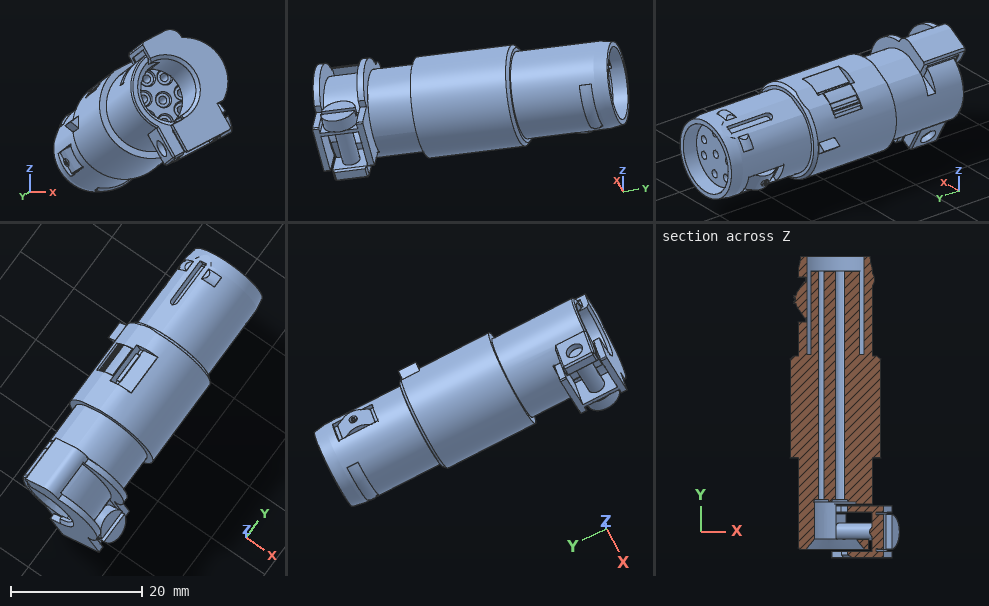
import cadquery as cq
import math

TILT = 30.0
BIG = 40.0

LENGTH = 45.95
BARREL_R = 6.73
NOSE_R = 6.4
NOSE_TAPER = 2.0
BARREL_FLAT = 6.52
SLEEVE_R = 7.8
SLEEVE_FLAT = 7.58
SLEEVE_START = 15.25
SLEEVE_END = 30.8
SLEEVE_CHAMFER = 0.5
REAR_END = 1.27
REAR_CHAMFER = 0.25

NOSE_BORE_R = 5.6
NOSE_BORE_START = 31.0
INSERT_FRONT = 43.7
INSERT_R = 5.2
INSERT_BACK = 8.5
REAR_BORE_R = 4.78
REAR_MOUTH_R = 5.72
MOUTH_DEPTH = 1.6
PIN_HOLE_R = 0.63
PIN_RIM_R = 1.27
PIN_FLOOR_R = 1.1
PIN_RIM_DEPTH = 0.4
PIN_PLACES = (
    (-2.32, 1.26), (0.33, -0.26), (-3.4, -1.62), (-1.15, -3.38),
    (-0.3, 3.75), (2.3, 2.7), (3.55, -0.6), (2.2, -2.9),
)

RIB_Y = 42.42
RIB_WIDTH = 2.2
RIB_R = 7.0
RIB_ROOT_R = 6.62
RIB_SPAN = 70.0
RIB_FLAT = 6.55
SLOT_START = 35.75
SLOT_END = 43.95
SLOT_WIDTH = 1.34

SPRING_Y = 39.35
WINDOW_LENGTH = 6.8
WINDOW_WIDTH = 4.0
WINDOW_FLOOR = 5.7
SPRING_LENGTH = 5.6
SPRING_WIDTH = 3.7
SPRING_ROOT = 5.6
SPRING_TOE = 5.9
SPRING_SHOULDER = 6.9
SPRING_CREST = 7.1
SPRING_CREST_LENGTH = 2.2
DIMPLE_R = 0.62
DIMPLE_HEIGHT = 0.2
DIMPLE_HOLE_R = 0.3

KEY_START = 27.13
KEY_END = 30.15
KEY_TIP = 9.05
KEY_HALF_WIDTH = 0.92

LATCH_Y = 23.7
LATCH_POCKET_LENGTH = 6.95
LATCH_FLOOR = 6.6
LATCH_RIGHT = 4.05
LATCH_STEP = 0.92
LATCH_LEFT = 0.05
LATCH_GROOVE = 6.2
TONGUE_TOP = 6.45
SLIDER_LENGTH = 5.2
GRIP_START = 15.0
GRIP_END = 32.0
GRIP_DEPTH = 0.35
GRIP_RIBS = (20.5, 25.0)
GRIP_RIB_SPAN = 3.0

CLAMP_LENGTH = 7.97
FLANGE = 1.02
CLAMP_LEFT = -1.4
CLAMP_TOP = 8.47
SADDLE_RIGHT = 4.75
LEG_RIGHT = 4.6
CLAMP_BOTTOM = -9.5
LEG_LEFT = -3.4
LEG_CORNER = 0.2
SADDLE_ROUND = 1.95
SADDLE_CORNER = 0.35
LOBE_CENTRE = (2.2, 0.33)
LOBE_R = 6.5
LOBE_LOW = -5.1
SHELL_CENTRE = (-1.3, 0.5)
SHELL_R = 7.3
SHELL_LOW = -4.0
UNDERSIDE = -4.2
CLAMP_MOUTH_R = 5.22
CLAMP_BORE_R = 4.65
CLAMP_MOUTH_DEPTH = 0.47
MOUTH_LOW = -4.75
SADDLE_GAP_TOP = 7.45
SADDLE_GAP_RIGHT = -1.2
CLAMP_GAP_END = 8.2
GAP_INNER_R = 5.73
SLIT_START = 6.7
SLIT_FLOOR = 4.7

EAR_LEFT = -5.4
EAR_START = 1.27
EAR_END = 6.7
EAR_EDGE = 0.3
EAR_TOP = -3.0
BLOCK_LEFT = 3.0
BLOCK_RIGHT = 3.6
SCREW_Y = 3.98
SCREW_Z = -7.05
SCREW_R = 1.35
SCREW_RECESS = 1.0
HEAD_R = 2.72
HEAD_END = 5.65
DRIVE_SLOT = 0.8


def box(x_range, y_range, z_range):
    sizes = [high - low for low, high in (x_range, y_range, z_range)]
    corner = (x_range[0], y_range[0], z_range[0])
    return cq.Workplane("XY").box(*sizes, centered=False).translate(corner)


def rear_plane(y):
    """Workplane at y whose local axes are X and Z; it extrudes towards -Y."""
    return cq.Workplane("XZ", origin=(0, y, 0))


def cylinder(radius, y_start, y_end, centre=(0, 0)):
    return rear_plane(y_end).center(*centre).circle(radius).extrude(y_end - y_start)


def cone(radius_start, radius_end, y_start, y_end, centre=(0, 0)):
    profile = cq.Workplane("XY").polyline(
        [(0, y_start), (radius_start, y_start), (radius_end, y_end), (0, y_end)]
    ).close()
    turned = profile.revolve(360, (0, 0, 0), (0, 1, 0))
    return turned.translate((centre[0], 0, centre[1]))


def sector(inner, outer, y_range, angle_start, angle_end):
    """Ring piece between two angles, measured from +Z towards -X."""
    middle = (inner + outer) / 2
    profile = cq.Workplane("XY").rect(outer - inner, y_range[1] - y_range[0])
    ring = profile.revolve(angle_end - angle_start, (-middle, 0, 0), (-middle, 1, 0))
    ring = ring.translate((middle, sum(y_range) / 2, 0))
    return ring.rotate((0, 0, 0), (0, 1, 0), -90 - angle_end)


def retaining_ribs():
    """Two rounded ribs across the +Z and -Z sides."""
    profile = (
        cq.Workplane("XY")
        .moveTo(RIB_ROOT_R, RIB_Y - RIB_WIDTH / 2)
        .threePointArc((RIB_R, RIB_Y), (RIB_ROOT_R, RIB_Y + RIB_WIDTH / 2))
        .close()
    )
    rib = profile.revolve(RIB_SPAN, (0, 0, 0), (0, 1, 0))
    rib = rib.rotate((0, 0, 0), (0, 1, 0), -90 - RIB_SPAN / 2)
    return rib.union(rib.rotate((0, 0, 0), (0, 1, 0), 180))


def barrel():
    taper_start = LENGTH - NOSE_TAPER
    body = cylinder(BARREL_R, REAR_END, taper_start).rotate((0, 0, 0), (0, 1, 0), 90)
    body = body.faces("<Y").chamfer(REAR_CHAMFER)
    body = body.union(cone(BARREL_R, NOSE_R, taper_start, LENGTH))
    ribs = retaining_ribs().cut(box((-BIG, BIG), (0, LENGTH), (RIB_FLAT, BIG)))
    half_flat = math.sqrt(BARREL_R**2 - BARREL_FLAT**2)
    flat = box((-half_flat, half_flat), (CLAMP_GAP_END, LENGTH), (BARREL_FLAT, BIG))
    return body.union(ribs).cut(flat)


def sleeve():
    body = cylinder(SLEEVE_R, SLEEVE_START, SLEEVE_END)
    body = body.faces(">Y").chamfer(SLEEVE_CHAMFER)
    return body.cut(box((-BIG, BIG), (SLEEVE_START, SLEEVE_END), (SLEEVE_FLAT, BIG)))


def key():
    half_root = KEY_HALF_WIDTH * (KEY_TIP - BARREL_R) / (KEY_TIP - SLEEVE_R)
    corners = [(-KEY_TIP, 0), (-BARREL_R, half_root), (-BARREL_R, -half_root)]
    outline = rear_plane(KEY_END).polyline(corners)
    prism = outline.close().extrude(KEY_END - KEY_START)
    return prism.rotate((0, 0, 0), (0, 1, 0), TILT)


def latch_span(length):
    return (LATCH_Y - length / 2, LATCH_Y + length / 2)


def latch_pocket():
    span = latch_span(LATCH_POCKET_LENGTH)
    floor = box((LATCH_LEFT, LATCH_RIGHT), span, (LATCH_FLOOR, BIG))
    groove = box((LATCH_LEFT, LATCH_STEP), span, (LATCH_GROOVE, BIG))
    tongue_span = latch_span(SLIDER_LENGTH)
    tongue = box((LATCH_LEFT, LATCH_STEP), tongue_span, (LATCH_GROOVE, TONGUE_TOP))
    return floor.union(groove).cut(tongue)


def latch_slider():
    span = latch_span(SLIDER_LENGTH)
    return sector(BARREL_R, SLEEVE_R, span, 0, GRIP_START)


def latch_grip():
    span = latch_span(SLIDER_LENGTH)
    grip = sector(SLEEVE_R - GRIP_DEPTH, BIG, span, GRIP_START, GRIP_END)
    for angle in GRIP_RIBS:
        grip = grip.cut(sector(BARREL_R, SLEEVE_R - GRIP_DEPTH / 2, span, angle, angle + GRIP_RIB_SPAN))
    return grip


def contact_spring():
    ends = SPRING_LENGTH / 2
    crest = SPRING_CREST_LENGTH / 2
    outline = (
        cq.Workplane("XY", origin=(0, SPRING_Y, -SPRING_WIDTH / 2))
        .moveTo(-SPRING_ROOT, -ends)
        .lineTo(-SPRING_TOE, -ends)
        .lineTo(-SPRING_SHOULDER, -crest)
        .threePointArc((-SPRING_CREST, 0), (-SPRING_SHOULDER, crest))
        .lineTo(-SPRING_TOE, ends)
        .lineTo(-SPRING_ROOT, ends)
        .close()
    )
    spring = outline.extrude(SPRING_WIDTH)
    side = cq.Workplane("YZ", origin=(-SPRING_CREST - DIMPLE_HEIGHT, SPRING_Y, 0))
    spring = spring.union(side.circle(DIMPLE_R).extrude(2 * DIMPLE_HEIGHT))
    return spring.cut(side.circle(DIMPLE_HOLE_R).extrude(DIMPLE_HEIGHT))


def spring_window():
    return box(
        (-BIG, -WINDOW_FLOOR),
        (SPRING_Y - WINDOW_LENGTH / 2, SPRING_Y + WINDOW_LENGTH / 2),
        (-WINDOW_WIDTH / 2, WINDOW_WIDTH / 2),
    )


def nose_slot():
    round_y = SLOT_START + SLOT_WIDTH / 2
    slot = box((-SLOT_WIDTH / 2, SLOT_WIDTH / 2), (round_y, SLOT_END), (INSERT_R, BIG))
    return slot.union(cq.Workplane("XY", origin=(0, round_y, INSERT_R)).circle(SLOT_WIDTH / 2).extrude(BIG))


def nose_bore():
    """Open nose with the contact insert standing in it, clear of the wall."""
    bore = cylinder(NOSE_BORE_R, NOSE_BORE_START, LENGTH)
    return bore.cut(cylinder(INSERT_R, NOSE_BORE_START, INSERT_FRONT))


def pin_holes():
    holes = cq.Workplane("XY")
    rim_end = INSERT_BACK + PIN_RIM_DEPTH
    for place in PIN_PLACES:
        holes = holes.add(cylinder(PIN_HOLE_R, INSERT_BACK, INSERT_FRONT, place))
        holes = holes.add(cone(PIN_RIM_R, PIN_FLOOR_R, INSERT_BACK, rim_end, place))
    return holes.combine()


def rear_bore():
    mouth_end = REAR_END + MOUTH_DEPTH
    bore = cylinder(REAR_BORE_R, mouth_end, INSERT_BACK)
    return bore.union(cone(REAR_MOUTH_R, REAR_BORE_R, REAR_END, mouth_end))


def clamp_outline(y):
    """Flange outline: saddle top, round lobe on the right, straight legs below."""
    def lobe_x(z):
        return LOBE_CENTRE[0] + math.sqrt(LOBE_R**2 - (z - LOBE_CENTRE[1])**2)

    lobe_top = LOBE_CENTRE[1] + math.sqrt(LOBE_R**2 - (SADDLE_RIGHT - LOBE_CENTRE[0])**2)
    diagonal = SADDLE_ROUND * (1 - math.sqrt(0.5))
    return (
        rear_plane(y)
        .moveTo(LEG_LEFT + LEG_CORNER, CLAMP_BOTTOM)
        .lineTo(LEG_LEFT, CLAMP_BOTTOM + LEG_CORNER)
        .lineTo(LEG_LEFT, MOUTH_LOW)
        .lineTo(CLAMP_LEFT, MOUTH_LOW)
        .lineTo(CLAMP_LEFT, CLAMP_TOP - SADDLE_CORNER)
        .lineTo(CLAMP_LEFT + SADDLE_CORNER, CLAMP_TOP)
        .lineTo(SADDLE_RIGHT - SADDLE_ROUND, CLAMP_TOP)
        .threePointArc((SADDLE_RIGHT - diagonal, CLAMP_TOP - diagonal),
                       (SADDLE_RIGHT, CLAMP_TOP - SADDLE_ROUND))
        .lineTo(SADDLE_RIGHT, lobe_top)
        .threePointArc((LOBE_CENTRE[0] + LOBE_R, LOBE_CENTRE[1]), (lobe_x(LOBE_LOW), LOBE_LOW))
        .lineTo(LEG_RIGHT, LOBE_LOW)
        .lineTo(LEG_RIGHT, CLAMP_BOTTOM + LEG_CORNER)
        .lineTo(LEG_RIGHT - LEG_CORNER, CLAMP_BOTTOM)
        .close()
    )


def clamp():
    inner_y = (FLANGE, CLAMP_LENGTH - FLANGE)
    flange = clamp_outline(FLANGE).extrude(FLANGE)
    body = flange.union(flange.translate((0, inner_y[1], 0)))
    shell = cylinder(SHELL_R, *inner_y, SHELL_CENTRE)
    upper = box((CLAMP_LEFT, BIG), inner_y, (SHELL_LOW, BIG))
    right = box((BLOCK_LEFT, BIG), inner_y, (-BIG, SHELL_LOW))
    shell = shell.intersect(upper.union(right))
    saddle_region = box((-BIG, SADDLE_RIGHT), inner_y, (BARREL_R, BIG))
    saddle = clamp_outline(CLAMP_LENGTH).extrude(CLAMP_LENGTH).intersect(saddle_region)
    body = body.union(saddle).union(shell)
    body = body.union(box((BLOCK_LEFT, BLOCK_RIGHT), inner_y, (CLAMP_BOTTOM, SHELL_LOW)))
    return body.cut(box((CLAMP_LEFT, SADDLE_GAP_RIGHT), inner_y, (GAP_INNER_R, SADDLE_GAP_TOP)))


def ear():
    body = box((EAR_LEFT, LEG_LEFT), (EAR_START, EAR_END), (CLAMP_BOTTOM, EAR_TOP))
    return body.edges("<X or <Z").chamfer(EAR_EDGE)


def across(radius, x_start, x_end):
    plane = cq.Workplane("YZ", origin=(x_start, SCREW_Y, SCREW_Z))
    return plane.circle(radius).extrude(x_end - x_start)


def screw():
    body = across(SCREW_R, EAR_LEFT + SCREW_RECESS, BLOCK_RIGHT)
    body = body.union(across(HEAD_R, BLOCK_RIGHT, HEAD_END))
    half = DRIVE_SLOT / 2
    slot_y = (SCREW_Y - HEAD_R, SCREW_Y + HEAD_R)
    return body.cut(box((LEG_RIGHT, HEAD_END), slot_y, (SCREW_Z - half, SCREW_Z + half)))


def rear_cuts():
    """Slit beside the clamp, and the open underside of the barrel under the clamp."""
    gap = box((CLAMP_LEFT, BIG), (CLAMP_LENGTH, CLAMP_GAP_END), (-BIG, BIG))
    gap = gap.cut(cylinder(GAP_INNER_R, 0, LENGTH))
    side = box((0, BIG), (REAR_END, CLAMP_LENGTH), (-BIG, BIG))
    side = side.cut(cylinder(SHELL_R, 0, LENGTH, SHELL_CENTRE))
    slit = box((-BIG, CLAMP_LEFT), (SLIT_START, CLAMP_GAP_END), (SLIT_FLOOR, BIG))
    underside = box((LEG_LEFT, BIG), (REAR_END + MOUTH_DEPTH, CLAMP_GAP_END), (-BIG, UNDERSIDE))
    return gap.union(side).union(slit).union(underside)


def clamp_mouth():
    mouth = cone(CLAMP_MOUTH_R, CLAMP_BORE_R, 0, CLAMP_MOUTH_DEPTH, SHELL_CENTRE)
    bore = cylinder(CLAMP_BORE_R, CLAMP_MOUTH_DEPTH, INSERT_BACK, SHELL_CENTRE)
    left = box((LEG_LEFT, SHELL_CENTRE[0]), (0, FLANGE), (MOUTH_LOW, 0))
    return mouth.union(bore).union(left)


body = barrel().cut(rear_cuts()).union(sleeve()).union(key())
body = body.cut(latch_pocket()).union(latch_slider().cut(latch_pocket())).cut(latch_grip())
body = body.cut(spring_window()).cut(rear_bore())
body = body.cut(nose_slot()).cut(nose_bore()).cut(pin_holes())
body = body.union(contact_spring())
assembly = body.union(clamp().cut(clamp_mouth())).union(ear().cut(rear_bore()))
assembly = assembly.cut(across(SCREW_R, EAR_LEFT, EAR_LEFT + SCREW_RECESS)).union(screw())
result = assembly.rotate((0, 0, 0), (0, 1, 0), -TILT)